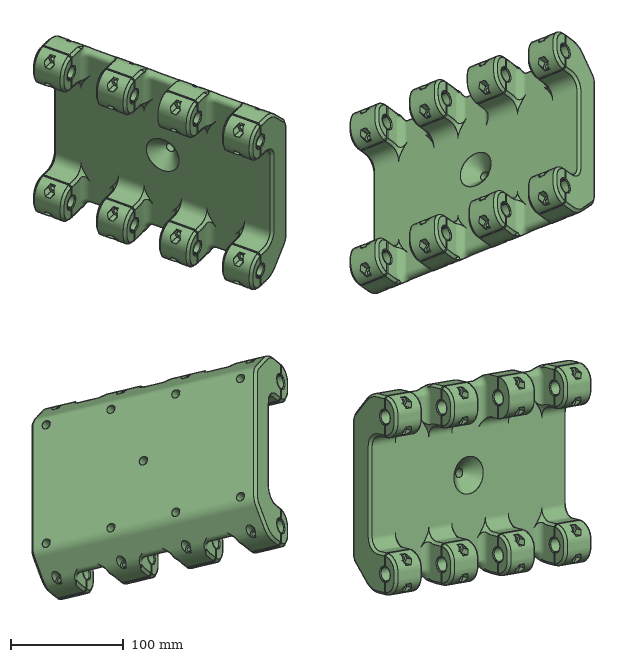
import cadquery as cq
import math

LENGTH = 228.5
HEIGHT = 181.0
DEPTH = 61.0
HALF_HEIGHT = HEIGHT / 2

PLATE_THICKNESS = 25.4
ARM_HEIGHT = 38.2
BEVEL = PLATE_THICKNESS
BACK_RADIUS = 12.8
SHOULDER_RADIUS = 22.9
INNER_RADIUS = 11.2
NOSE_RADIUS = 15.5
PLATE_EDGE_RADIUS = 5.0
ARM_UNDERSIDE = HALF_HEIGHT - ARM_HEIGHT

ARM_COUNT = 4
ARM_WIDTH = 31.8
ARM_PITCH = (LENGTH - ARM_WIDTH) / (ARM_COUNT - 1)
ARM_CENTRES = [(i - (ARM_COUNT - 1) / 2) * ARM_PITCH for i in range(ARM_COUNT)]
EDGE_CHAMFER = 2.5
SQUARE_ARM = 2

ROOT_RADIUS = 6.5
ROOT_RUNOUT = 4.5

CLAMP_DEPTH = 46.0
CLAMP_GAP = 1.5
ROD_DIAMETER = 12.8
ROD_CHAMFER = 1.0
ROD_HEIGHT = 71.3

SCREW_OFFSET = 12.8
SCREW_DIAMETER = 4.5
HEAD_DIAMETER = 8.0
HEAD_DEPTH = PLATE_THICKNESS
NUT_FLATS = 8.7
NUT_DEPTH = 9.8
NUT_CORNERS = NUT_FLATS / math.cos(math.pi / 6)

CENTRE_DIAMETER = 8.2
SINK_DIAMETER = 34.0
SINK_DEPTH = (SINK_DIAMETER - CENTRE_DIAMETER) / 2


def round_edges(bar, x, corners, radius):
    """Round the lengthwise edges that pass through the given (y, z) corners at x."""
    for y, z in corners:
        bar = bar.edges(cq.NearestToPointSelector((x, y, z))).fillet(radius)
    return bar


def upper_bar(x_start, x_end):
    """The upper half of the C outline, extruded between two x positions."""
    corners = [
        (0, 0),
        (0, HALF_HEIGHT - BEVEL),
        (-BEVEL, HALF_HEIGHT),
        (-DEPTH, HALF_HEIGHT),
        (-DEPTH, ARM_UNDERSIDE),
        (-PLATE_THICKNESS, ARM_UNDERSIDE),
        (-PLATE_THICKNESS, 0),
    ]
    middle = (x_start + x_end) / 2
    bar = cq.Workplane("YZ", origin=(x_start, 0, 0)).polyline(corners).close().extrude(x_end - x_start)
    bar = round_edges(bar, middle, corners[1:2], BACK_RADIUS)
    bar = round_edges(bar, middle, corners[2:3], SHOULDER_RADIUS)
    bar = round_edges(bar, middle, corners[3:5], NOSE_RADIUS)
    return round_edges(bar, middle, corners[5:6], INNER_RADIUS)


def depth_slab(y_low, y_high):
    """Block that spans the whole part in X and Z between two y positions."""
    corner = cq.Vector(-LENGTH / 2, y_low, -HALF_HEIGHT)
    return cq.Workplane(obj=cq.Solid.makeBox(LENGTH, y_high - y_low, HEIGHT, corner))


def chamfered_sides(index, is_upper):
    """The sides (-1 or 1) on which an arm is chamfered."""
    return (1,) if is_upper and index == SQUARE_ARM else (-1, 1)


def upper_arm(index, sides):
    """One arm with the strip of plate behind it, chamfered all around on the given sides."""
    centre = ARM_CENTRES[index]
    arm = upper_bar(centre - ARM_WIDTH / 2, centre + ARM_WIDTH / 2)
    for side in sides:
        rim = arm.faces(">X" if side > 0 else "<X").edges("not(<Z)")
        arm = arm.newObject(rim.vals()).chamfer(EDGE_CHAMFER)
    return arm


def root_section(face_x, side, axis_z):
    """Cross-section of a root fillet, tangent to the arm's side and to the plate."""
    def point(out, height):
        return face_x + side * out, -PLATE_THICKNESS - height

    embed = PLATE_EDGE_RADIUS / 2
    middle = ROOT_RADIUS * (1 - math.sqrt(0.5))
    return (
        cq.Workplane("XY", origin=(0, 0, axis_z))
        .moveTo(*point(-EDGE_CHAMFER, -embed))
        .lineTo(*point(ROOT_RADIUS, -embed))
        .lineTo(*point(ROOT_RADIUS, 0))
        .threePointArc(point(middle, middle), point(0, ROOT_RADIUS))
        .lineTo(*point(-EDGE_CHAMFER, ROOT_RADIUS + ROOT_RUNOUT))
        .close()
    )


def root_fillet(index, side, is_chamfered):
    """Fillet between one side of an upper arm and the plate, rolled around the plate's edge."""
    face_x = ARM_CENTRES[index] + side * ARM_WIDTH / 2
    inner_x = face_x - side * EDGE_CHAMFER
    outer_x = face_x + side * ROOT_RADIUS
    inner_z = ARM_UNDERSIDE - INNER_RADIUS
    axis_y = PLATE_EDGE_RADIUS - PLATE_THICKNESS
    axis_z = HALF_HEIGHT - PLATE_EDGE_RADIUS * (1 + math.sqrt(2))

    straight = root_section(face_x, side, axis_z).extrude(inner_z - axis_z)
    rolled = root_section(face_x, side, axis_z).revolve(135, (0, axis_y), (-1, axis_y))
    fillet = straight.union(rolled).intersect(upper_bar(min(inner_x, outer_x), max(inner_x, outer_x)))
    if is_chamfered:
        reach = EDGE_CHAMFER + ROOT_RADIUS
        apex = cq.Vector(inner_x, -PLATE_THICKNESS - INNER_RADIUS, inner_z)
        cone = cq.Solid.makeCone(INNER_RADIUS, INNER_RADIUS + reach, reach, apex, cq.Vector(side, 0, 0))
        fillet = fillet.cut(cq.Workplane(obj=cone))
    return fillet


def upper_plate():
    half_length = ARM_CENTRES[-1]
    corners = [(0, 0), (0, HALF_HEIGHT - BEVEL), (-PLATE_THICKNESS, HALF_HEIGHT), (-PLATE_THICKNESS, 0)]
    plate = cq.Workplane("YZ").polyline(corners).close().extrude(half_length, both=True)
    plate = round_edges(plate, 0, corners[1:2], BACK_RADIUS)
    return round_edges(plate, 0, corners[2:3], PLATE_EDGE_RADIUS)


def half_blank(is_upper):
    """Upper or lower half of the housing with its arms still joined to the caps, undrilled."""
    half = upper_plate()
    for i in range(ARM_COUNT):
        sides = chamfered_sides(i, is_upper)
        half = half.union(upper_arm(i, sides), clean=False)
        for side in (-1, 1):
            is_end_of_part = (i == 0 and side < 0) or (i == ARM_COUNT - 1 and side > 0)
            if not is_end_of_part:
                half = half.union(root_fillet(i, side, side in sides), clean=False)
    return half if is_upper else half.mirror("XY")


def y_cylinder(x, z, diameter, y_start, y_end):
    workplane = cq.Workplane("XZ", origin=(x, y_start, z))
    return workplane.circle(diameter / 2).extrude(y_start - y_end)


def rod_bore(index, z):
    """Rod hole through one arm, with a countersunk mouth on both sides."""
    x_start = ARM_CENTRES[index] - ARM_WIDTH / 2
    radius = ROD_DIAMETER / 2
    profile = [
        (0, 0),
        (0, radius + ROD_CHAMFER),
        (ROD_CHAMFER, radius),
        (ARM_WIDTH - ROD_CHAMFER, radius),
        (ARM_WIDTH, radius + ROD_CHAMFER),
        (ARM_WIDTH, 0),
    ]
    bore = cq.Workplane("XY", origin=(x_start, -CLAMP_DEPTH, z)).polyline(profile).close()
    return bore.revolve(360, (0, 0), (1, 0))


def screw_bore(x, z):
    """Screw hole along Y, with a round head recess at the back and a nut pocket in the cap."""
    nut = cq.Workplane("XZ", origin=(x, NUT_DEPTH - DEPTH, z)).polygon(6, NUT_CORNERS).extrude(NUT_DEPTH)
    bore = y_cylinder(x, z, SCREW_DIAMETER, 0, -DEPTH)
    return bore.union(y_cylinder(x, z, HEAD_DIAMETER, 0, -HEAD_DEPTH)).union(nut)


def clamp_bores(index, z):
    bores = rod_bore(index, z)
    for offset in (-SCREW_OFFSET, SCREW_OFFSET):
        bores = bores.union(screw_bore(ARM_CENTRES[index], z + offset))
    return bores


def centre_hole():
    """Through hole with a conical sink in the front of the plate."""
    hole = y_cylinder(0, 0, CENTRE_DIAMETER, 0, -PLATE_THICKNESS)
    mouth = cq.Vector(0, -PLATE_THICKNESS, 0)
    sink = cq.Solid.makeCone(SINK_DIAMETER / 2, CENTRE_DIAMETER / 2, SINK_DEPTH, mouth, cq.Vector(0, 1, 0))
    return hole.union(cq.Workplane(obj=sink))


def make_housing():
    blank = half_blank(True).union(half_blank(False), clean=False).clean()
    housing = blank.intersect(depth_slab(CLAMP_GAP / 2 - CLAMP_DEPTH, 0))
    for i in range(ARM_COUNT):
        for z in (-ROD_HEIGHT, ROD_HEIGHT):
            housing = housing.cut(clamp_bores(i, z))
    return housing.cut(centre_hole())


def make_cap(index, is_upper):
    """Clamp cap: the tip of one arm, beyond the clamp gap."""
    arm = upper_arm(index, chamfered_sides(index, is_upper))
    if not is_upper:
        arm = arm.mirror("XY")
    cap = arm.intersect(depth_slab(-DEPTH, -CLAMP_GAP / 2 - CLAMP_DEPTH))
    return cap.cut(clamp_bores(index, ROD_HEIGHT if is_upper else -ROD_HEIGHT))


housing = make_housing()
caps = [make_cap(i, is_upper) for is_upper in (True, False) for i in range(ARM_COUNT)]
result = cq.Compound.makeCompound([housing.val(), *[cap.val() for cap in caps]])